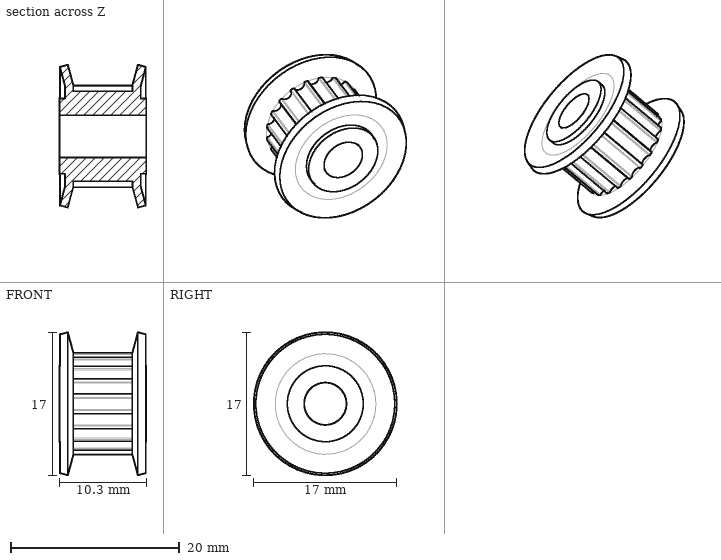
import cadquery as cq
import math

overall_length = 10.3
belt_width = 7.0
rim_radius = 8.5
flange_thickness = 1.0
flange_angle = math.radians(15)
hub_radius = 4.5
bore_radius = 2.5

tooth_count = 20
tip_radius = 6.1
groove_depth = 0.75
groove_radius = 0.68
tip_fillet = 0.1

tooth_pitch = 2 * math.pi / tooth_count


def groove_points():
    """Points of half a groove, from its root to the next tooth top, as (radial, sideways)."""
    root_radius = tip_radius - groove_depth
    groove_centre = root_radius + groove_radius

    fillet_orbit = tip_radius - tip_fillet
    centre_distance = groove_radius + tip_fillet
    fillet_radial = (fillet_orbit**2 + groove_centre**2 - centre_distance**2) / (2 * groove_centre)
    fillet_side = math.sqrt(fillet_orbit**2 - fillet_radial**2)

    tip_scale = tip_radius / fillet_orbit
    tip = (fillet_radial * tip_scale, fillet_side * tip_scale)
    groove_share = groove_radius / centre_distance
    flank = (
        groove_centre + (fillet_radial - groove_centre) * groove_share,
        fillet_side * groove_share,
    )

    bulge_radial = (tip[0] + flank[0]) / 2 - fillet_radial
    bulge_side = (tip[1] + flank[1]) / 2 - fillet_side
    bulge_scale = tip_fillet / math.hypot(bulge_radial, bulge_side)
    corner = (fillet_radial + bulge_radial * bulge_scale, fillet_side + bulge_side * bulge_scale)

    tooth_top = (tip_radius * math.cos(tooth_pitch / 2), tip_radius * math.sin(tooth_pitch / 2))
    return (root_radius, 0), flank, corner, tip, tooth_top


def mirrored(point):
    """Same point on the other side of the groove."""
    return (point[0], -point[1])


def turned(point, angle):
    """Y and Z of a (radial, sideways) groove point, with the groove turned from +Z."""
    radial, sideways = point
    return (
        sideways * math.cos(angle) - radial * math.sin(angle),
        sideways * math.sin(angle) + radial * math.cos(angle),
    )


def toothed_core():
    """Toothed cylinder: each groove is one arc with rounded tooth corners."""
    root, flank, corner, tip, tooth_top = groove_points()
    outline = cq.Workplane("YZ").moveTo(*turned(tip, 0))
    for index in range(tooth_count):
        angle = index * tooth_pitch
        next_angle = angle + tooth_pitch
        outline = (
            outline
            .threePointArc(turned(corner, angle), turned(flank, angle))
            .threePointArc(turned(root, angle), turned(mirrored(flank), angle))
            .threePointArc(turned(mirrored(corner), angle), turned(mirrored(tip), angle))
            .threePointArc(turned(mirrored(tooth_top), angle), turned(tip, next_angle))
        )
    return outline.close().extrude(belt_width / 2, both=True)


def flange():
    """Dished flange of even thickness at the +X end, with its flat hub."""
    inner_face = belt_width / 2
    outer_face = inner_face + flange_thickness
    hub_face = overall_length / 2
    inner_bend = tip_radius
    outer_bend = inner_bend - flange_thickness * math.tan(flange_angle / 2)
    inner_rim_x = inner_face + (rim_radius - inner_bend) * math.tan(flange_angle)
    outer_rim_x = inner_rim_x + flange_thickness * math.cos(flange_angle)
    outer_rim_radius = rim_radius - flange_thickness * math.sin(flange_angle)
    profile = [
        (inner_face, 0),
        (inner_face, inner_bend),
        (inner_rim_x, rim_radius),
        (outer_rim_x, outer_rim_radius),
        (outer_face, outer_bend),
        (outer_face, hub_radius),
        (hub_face, hub_radius),
        (hub_face, 0),
    ]
    return cq.Workplane("XY").polyline(profile).close().revolve(360, (0, 0, 0), (1, 0, 0))


right_flange = flange()
left_flange = right_flange.mirror("YZ")
bore = cq.Workplane("YZ").circle(bore_radius).extrude(overall_length, both=True)

result = toothed_core().union(right_flange).union(left_flange).cut(bore)